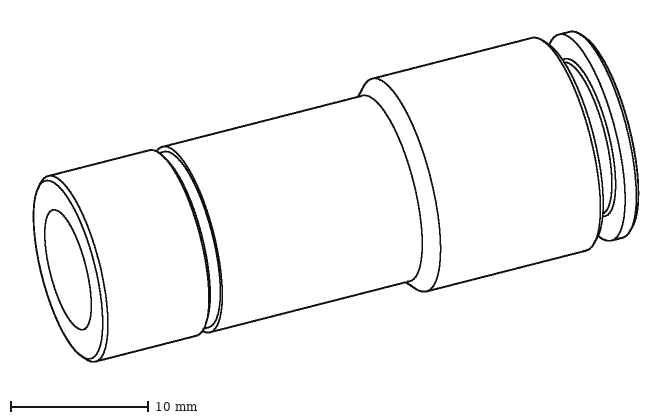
import cadquery as cq

bore_diameter = 9.0
neck_diameter = 11.4
groove_diameter = 13.2
stem_diameter = 13.95
collar_diameter = 15.5
body_diameter = 16.0

total_length = 41.8
stem_tip_length = 8.25
groove_width = 1.05
groove_taper_length = 0.25
stem_length = 25.0
body_length = 13.95
body_end_cone_height = 0.25
collar_thickness = 1.15

stem_chamfer = 0.3
body_chamfer = 0.38
collar_chamfer = 0.3
neck_flare = 0.2

stem_tip = -total_length / 2
collar_face = total_length / 2
groove_start = stem_tip + stem_tip_length
groove_end = groove_start + groove_width
body_start = stem_tip + stem_length
body_end = body_start + body_length
neck_start = body_end + body_end_cone_height
collar_start = collar_face - collar_thickness

bore_radius = bore_diameter / 2
neck_radius = neck_diameter / 2
groove_radius = groove_diameter / 2
stem_radius = stem_diameter / 2
collar_radius = collar_diameter / 2
body_radius = body_diameter / 2
shoulder_length = body_radius - stem_radius

stem_outline = [
    (bore_radius, stem_tip),
    (stem_radius - stem_chamfer, stem_tip),
    (stem_radius, stem_tip + stem_chamfer),
    (stem_radius, groove_start),
    (groove_radius, groove_start + groove_taper_length),
    (groove_radius, groove_end),
    (stem_radius, groove_end),
    (stem_radius, body_start),
]

body_outline = [
    (body_radius, body_start + shoulder_length),
    (body_radius, body_end - body_chamfer),
    (body_radius - body_chamfer, body_end),
]

collar_outline = [
    (neck_radius, neck_start),
    (neck_radius, collar_start - neck_flare),
    (neck_radius + neck_flare, collar_start),
    (collar_radius, collar_start),
    (collar_radius, collar_face - collar_chamfer),
    (collar_radius - collar_chamfer, collar_face),
    (bore_radius, collar_face),
]

half_section = cq.Workplane("XY").polyline(stem_outline + body_outline + collar_outline).close()
result = half_section.revolve(360, (0, 0, 0), (0, 1, 0))